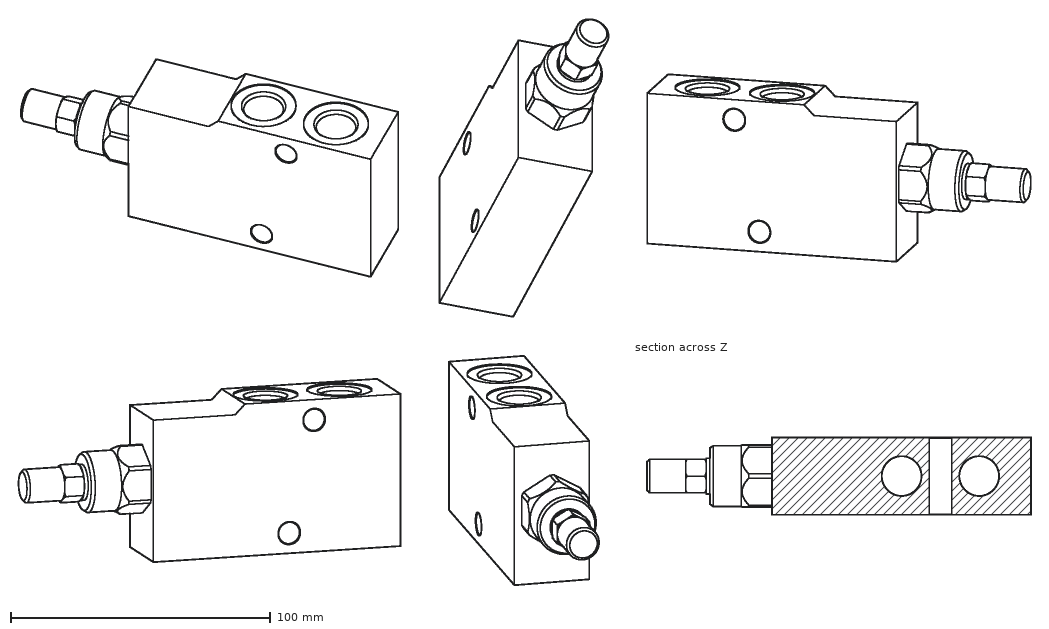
import cadquery as cq
import math

TOTAL_LENGTH = 148.2
BODY_LENGTH = 100.0
BODY_WIDTH = 30.0
BODY_HEIGHT = 60.0
BODY_START = TOTAL_LENGTH - BODY_LENGTH

STEP_DEPTH = 4.0
RAMP_TOP_X = BODY_START + 37.0
RAMP_FOOT_X = RAMP_TOP_X - STEP_DEPTH
RAMP_FOOT_RADIUS = 0.5

MOUNTING_DIAMETER = 8.5
MOUNTING_CHAMFER = 0.3
MOUNTING_EDGE_DISTANCE = 8.0
UPPER_MOUNTING_X = BODY_START + 65.0
LOWER_MOUNTING_X = BODY_START + 55.0

PORT_X = (BODY_START + 50.1, BODY_START + 80.0)
SPOTFACE_DIAMETER = 25.0
SPOTFACE_DEPTH = 0.5
PORT_DIAMETER = 15.3
PORT_MOUTH_DIAMETER = 17.0
PORT_MOUTH_DEPTH = 1.5
PORT_DEPTH = 17.8

ROD_DIAMETER = 13.0
ROD_CHAMFER = 1.0
LOCKNUT_START = 15.0
LOCKNUT_END = 22.8
LOCKNUT_FLATS = 13.0
LOCKNUT_CHAMFER_LENGTH = 0.5
COLLAR_DIAMETER = 14.0
BARREL_START = 24.3
BARREL_DIAMETER = 23.5
BARREL_CHAMFER_LENGTH = 1.3
BARREL_CHAMFER_HEIGHT = 0.9
HEX_START = 36.3
HEX_FLATS = 24.0
HEX_CORNER_DIAMETER = 26.8
HEX_CHAMFER_LENGTH = 3.0


def hexagon_along_x(start, end, flats):
    """Hexagonal bar on the X axis with two of its corners on the Z axis."""
    corner_diameter = flats / math.cos(math.pi / 6)
    bar = cq.Workplane("YZ").polygon(6, corner_diameter).extrude(end - start)
    return bar.rotate((0, 0, 0), (1, 0, 0), 90).translate((start, 0, 0))


def revolved_about_x(profile):
    """Solid of revolution from (x, radius) points, closed along the X axis."""
    first_x = profile[0][0]
    last_x = profile[-1][0]
    outline = [(first_x, 0), *profile, (last_x, 0)]
    return cq.Workplane("XY").polyline(outline).close().revolve(360, (0, 0, 0), (1, 0, 0))


def make_block():
    bottom = -BODY_HEIGHT / 2
    top = BODY_HEIGHT / 2
    step = top - STEP_DEPTH
    outline = [
        (BODY_START, bottom),
        (TOTAL_LENGTH, bottom),
        (TOTAL_LENGTH, top),
        (RAMP_TOP_X, top),
        (RAMP_FOOT_X, step),
        (BODY_START, step),
    ]
    block = cq.Workplane("XZ").polyline(outline).close().extrude(BODY_WIDTH / 2, both=True)
    ramp_foot = cq.selectors.NearestToPointSelector((RAMP_FOOT_X, 0, step))
    return block.edges("|Y").edges(ramp_foot).fillet(RAMP_FOOT_RADIUS)


def make_mounting_hole(x, z):
    """Cutter along Y through the body, with a small chamfer at both faces."""
    radius = MOUNTING_DIAMETER / 2
    mouth_radius = radius + MOUNTING_CHAMFER
    face = BODY_WIDTH / 2
    chamfer_end = face - MOUNTING_CHAMFER
    outline = [
        (0, -face),
        (mouth_radius, -face),
        (radius, -chamfer_end),
        (radius, chamfer_end),
        (mouth_radius, face),
        (0, face),
    ]
    hole = cq.Workplane("XY").polyline(outline).close().revolve(360, (0, 0, 0), (0, 1, 0))
    return hole.translate((x, 0, z))


def make_port(x):
    """Blind port with a conical mouth opening into a shallow round spotface."""
    floor = -SPOTFACE_DEPTH
    outline = [
        (0, 0),
        (SPOTFACE_DIAMETER / 2, 0),
        (SPOTFACE_DIAMETER / 2, floor),
        (PORT_MOUTH_DIAMETER / 2, floor),
        (PORT_DIAMETER / 2, floor - PORT_MOUTH_DEPTH),
        (PORT_DIAMETER / 2, -PORT_DEPTH),
        (0, -PORT_DEPTH),
    ]
    port = cq.Workplane("XZ").polyline(outline).close().revolve(360, (0, 0, 0), (0, 1, 0))
    return port.translate((x, 0, BODY_HEIGHT / 2))


def make_turned_core():
    """Rod, collar and barrel of the cartridge."""
    rod_radius = ROD_DIAMETER / 2
    collar_radius = COLLAR_DIAMETER / 2
    barrel_radius = BARREL_DIAMETER / 2
    return revolved_about_x([
        (0, rod_radius - ROD_CHAMFER),
        (ROD_CHAMFER, rod_radius),
        (LOCKNUT_END, rod_radius),
        (LOCKNUT_END, collar_radius),
        (BARREL_START, collar_radius),
        (BARREL_START, barrel_radius - BARREL_CHAMFER_HEIGHT),
        (BARREL_START + BARREL_CHAMFER_LENGTH, barrel_radius),
        (BODY_START, barrel_radius),
    ])


def make_locknut():
    """Small hexagon with its corners coned off at both ends."""
    end_radius = COLLAR_DIAMETER / 2
    corner_radius = LOCKNUT_FLATS / 2 / math.cos(math.pi / 6)
    envelope = revolved_about_x([
        (LOCKNUT_START, end_radius),
        (LOCKNUT_START + LOCKNUT_CHAMFER_LENGTH, corner_radius),
        (LOCKNUT_END - LOCKNUT_CHAMFER_LENGTH, corner_radius),
        (LOCKNUT_END, end_radius),
    ])
    return hexagon_along_x(LOCKNUT_START, LOCKNUT_END, LOCKNUT_FLATS).intersect(envelope)


def make_wrench_hex():
    """Large hexagon with its corners turned down and its front end coned."""
    envelope = revolved_about_x([
        (HEX_START, BARREL_DIAMETER / 2),
        (HEX_START + HEX_CHAMFER_LENGTH, HEX_CORNER_DIAMETER / 2),
        (BODY_START, HEX_CORNER_DIAMETER / 2),
    ])
    return hexagon_along_x(HEX_START, BODY_START, HEX_FLATS).intersect(envelope)


body = make_block()
mounting_z = BODY_HEIGHT / 2 - MOUNTING_EDGE_DISTANCE
body = body.cut(make_mounting_hole(UPPER_MOUNTING_X, mounting_z))
body = body.cut(make_mounting_hole(LOWER_MOUNTING_X, -mounting_z))
for port_x in PORT_X:
    body = body.cut(make_port(port_x))

cartridge = make_turned_core().union(make_locknut()).union(make_wrench_hex())
result = body.union(cartridge)